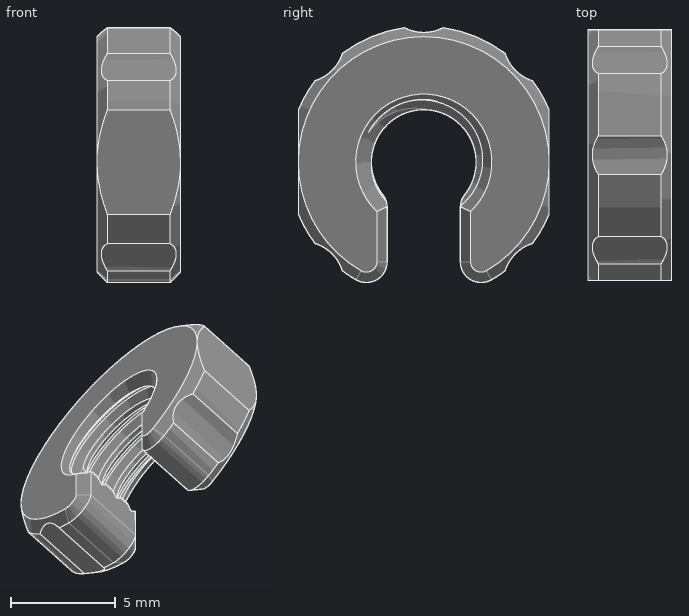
import cadquery as cq
import math

thickness = 4.0
outer_radius = 6.5
flat_half_width = 6.0
chamfer = outer_radius - flat_half_width

slot_half_width = 1.75
tip_radius = 1.0
corner_radius = 1.0

scallop_radius = 2.0
scallop_center_radius = 8.21
scallop_angles = (-45, 45, 90, 135, 225)

minor_radius = 2.5
major_radius = 3.0
countersink_radius = 3.26
pitch = 1.0
thread_phase = 0.13
root_width = 0.12
flank_half_angle = 32
margin = 0.12


def rod(radius, y=0, z=0):
    """Cylinder along X over the full thickness."""
    return cq.Workplane("YZ").center(y, z).circle(radius).extrude(thickness / 2, both=True)


def chamfered_body():
    """Slotted disc with rounded leg tips and both face outlines chamfered."""
    slot = (
        cq.Workplane("YZ")
        .center(0, -outer_radius)
        .rect(2 * slot_half_width, 2 * outer_radius)
        .extrude(thickness / 2, both=True)
    )
    disc = rod(outer_radius).cut(slot)
    tips = disc.edges(cq.selectors.BoxSelector(
        (-thickness, -slot_half_width - margin, -outer_radius),
        (thickness, slot_half_width + margin, -outer_radius / 2),
    )).edges("|X")
    return tips.fillet(tip_radius).faces("<X or >X").chamfer(chamfer)


def countersunk_bore():
    """Minor-diameter bore with a 45 degree countersink at each face."""
    depth = countersink_radius - minor_radius
    half = thickness / 2
    profile = [
        (-half, 0),
        (-half, countersink_radius),
        (-half + depth, minor_radius),
        (half - depth, minor_radius),
        (half, countersink_radius),
        (half, 0),
    ]
    return cq.Workplane("XY").polyline(profile).close().revolve(360, (0, 0), (1, 0))


def thread_turn():
    """One right-hand turn of V groove, starting and ending inside the slot below the axis."""
    inner_radius = minor_radius - margin
    flank_run = (major_radius - inner_radius) * math.tan(math.radians(flank_half_angle))
    root_half = root_width / 2
    mouth_half = root_half + flank_run
    helix = cq.Wire.makeHelix(pitch, pitch, major_radius)
    groove = (
        cq.Workplane("XZ")
        .polyline([
            (inner_radius, -mouth_half),
            (major_radius, -root_half),
            (major_radius, root_half),
            (inner_radius, mouth_half),
        ])
        .close()
        .sweep(cq.Workplane(obj=helix), isFrenet=True)
    )
    return groove.rotate((0, 0, 0), (0, 1, 0), 90)


result = chamfered_body().intersect(
    cq.Workplane("XY").box(thickness, 2 * flat_half_width, 2 * outer_radius)
)

for angle in scallop_angles:
    y = scallop_center_radius * math.cos(math.radians(angle))
    z = scallop_center_radius * math.sin(math.radians(angle))
    result = result.cut(rod(scallop_radius, y, z))

result = result.cut(countersunk_bore())
corner_z = -math.sqrt(minor_radius**2 - slot_half_width**2)
corner_edges = cq.selectors.BoxSelector(
    (-margin, -slot_half_width - margin, corner_z - margin),
    (margin, slot_half_width + margin, corner_z + margin),
)
result = result.edges("|X").edges(corner_edges).fillet(corner_radius)

groove_turn = thread_turn()
turns_each_side = math.ceil(thickness / 2 / pitch) + 1
for turn in range(-turns_each_side, turns_each_side):
    result = result.cut(groove_turn.translate((thread_phase + turn * pitch, 0, 0)))